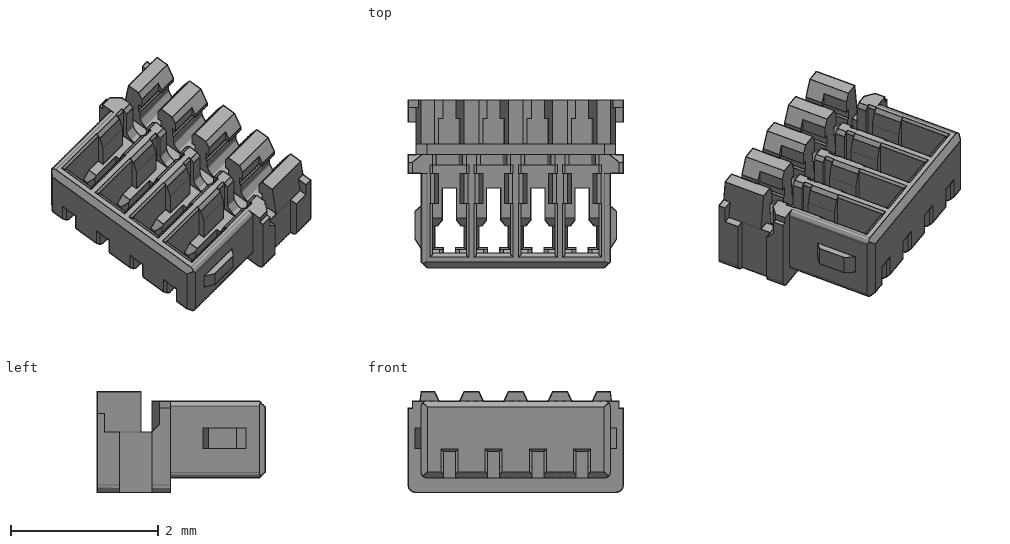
import cadquery as cq


CONTACTS = 4
PILLAR_SPAN = 2.4
PITCH = PILLAR_SPAN / CONTACTS
CHANNEL_XS = [PITCH * (i - (CONTACTS - 1) / 2) for i in range(CONTACTS)]

HALF_WIDTH = 1.46
DEPTH = 2.28
HEIGHT = 1.37
BASE_ROUND = 0.105
WAIST_HALF_WIDTH = HALF_WIDTH - BASE_ROUND
SHOULDER_Z = 0.823

NOSE_HALF_WIDTH = 1.282
NOSE_BOTTOM = 0.2
NOSE_TOP = 1.24
NOSE_ROUND = 0.075
NOSE_CHAMFER = 0.082

COLLAR_FRONT = 1.285
COLLAR_BACK = 1.54
COLLAR_STEP_Z = 1.145
COLLAR_TOP_HALF_WIDTH = 1.402
COLLAR_RELIEF = 0.105
RELIEF_INNER_X = 1.275

FLANGE_FRONT = 1.98
FLANGE_LUG_FRONT = 2.18
FLANGE_LUG_TOP = 1.075
FLANGE_LUG_INNER_X = 1.308

PILLAR_FRONT = 1.685
PILLAR_TOP_HALF_WIDTH = 0.1
PILLAR_SLOPE_RUN = 0.115
PILLAR_SLOPE_DROP = 0.237
CROSS_SLOT_HALF_WIDTH = 1.205

CAVITY_HALF_WIDTH = 0.23
CAVITY_FRONT = 0.207
CAVITY_BACK = 1.402
CAVITY_FLOOR = 0.585
RIM_SIDE = 0.032
RIM_FRONT = 0.058

CHANNEL_RADIUS = 0.178
CHANNEL_AXIS_Z = 0.78
GROOVE_FLARE = 0.023
GROOVE_BOTTOM = 0.895
GROOVE_TOP = 1.065
RECESS_HALF_WIDTH = 0.145
RECESS_TOP = 1.267
RECESS_BACK = 2.03
ENTRY_CHAMFER = 0.053

RIB_FRONT = 0.875
RIB_ROOT_X = 0.255
RIB_EDGE_X = 0.201
RIB_FACE_X = 0.145
RIB_TAPER_DROP = 0.185

SLOT_HALF_WIDTH = 0.095
SLOT_BACK = 1.085
WINDOW_HALF_WIDTH = 0.195
WINDOW_FRONT = 0.28
WINDOW_BACK = 0.57
WINDOW_CORNER_X = 0.16
WINDOW_CORNER_RUN = 0.08
RAMP_BACK = 0.68
SILL_BACK = 0.255
FUNNEL_TOP = 0.35
SILL_NOTCH_HALF_WIDTH = 0.137
NOTCH_HALF_WIDTH = 0.082
NOTCH_TOP = 0.558
NOTCH_CHAMFER = 0.035

LATCH_REACH = 0.085
LATCH_BOTTOM = 0.6
LATCH_TOP = 0.875
LATCH_FRONT = 0.263
LATCH_CREST_FRONT = 0.39
LATCH_CREST_BACK = 0.77
LATCH_BACK = 0.847


def block(x0, x1, y0, y1, z0, z1):
    """Box given by its limits along each axis."""
    return cq.Workplane("XY").box(x1 - x0, y1 - y0, z1 - z0, centered=False).translate((x0, y0, z0))


def mirrored_profile(points, y0, y1):
    """Prism along Y from a right-hand (x, z) outline mirrored about x = 0."""
    outline = points + [(-x, z) for x, z in reversed(points)]
    return cq.Workplane("XZ", origin=(0, y0, 0)).polyline(outline).close().extrude(y0 - y1)


def side_profile(points, half_width):
    """Prism along X, symmetric about x = 0, from a (y, z) outline."""
    return cq.Workplane("YZ").polyline(points).close().extrude(half_width, both=True)


def both_sides(solid):
    """A right-hand solid together with its mirror image about x = 0."""
    return solid.union(solid.mirror("YZ"))


def make_nose():
    limits = (-NOSE_HALF_WIDTH, NOSE_HALF_WIDTH, 0, COLLAR_BACK, NOSE_BOTTOM, NOSE_TOP)
    rounded = block(*limits).edges("|Y").fillet(NOSE_ROUND)
    bevelled = block(*limits).faces("<Y").chamfer(NOSE_CHAMFER)
    return rounded.intersect(bevelled)


def make_latches():
    outline = [
        (NOSE_HALF_WIDTH - NOSE_ROUND, LATCH_FRONT),
        (NOSE_HALF_WIDTH, LATCH_FRONT),
        (NOSE_HALF_WIDTH + LATCH_REACH, LATCH_CREST_FRONT),
        (NOSE_HALF_WIDTH + LATCH_REACH, LATCH_CREST_BACK),
        (NOSE_HALF_WIDTH, LATCH_BACK),
        (NOSE_HALF_WIDTH - NOSE_ROUND, LATCH_BACK),
    ]
    latch = cq.Workplane("XY", origin=(0, 0, LATCH_BOTTOM)).polyline(outline).close()
    return both_sides(latch.extrude(LATCH_TOP - LATCH_BOTTOM))


def rounded_base(y0, y1, top):
    base = block(-HALF_WIDTH, HALF_WIDTH, y0, y1, 0, top)
    return base.edges("|Y and <Z").fillet(BASE_ROUND)


def make_collar():
    collar = rounded_base(COLLAR_FRONT, COLLAR_BACK, COLLAR_STEP_Z)
    upper = block(
        -COLLAR_TOP_HALF_WIDTH, COLLAR_TOP_HALF_WIDTH, COLLAR_FRONT, COLLAR_BACK, COLLAR_STEP_Z, NOSE_TOP
    )
    relief_front = COLLAR_BACK - COLLAR_RELIEF
    plan = [
        (RELIEF_INNER_X, COLLAR_BACK),
        (COLLAR_TOP_HALF_WIDTH, relief_front),
        (HALF_WIDTH, relief_front),
        (HALF_WIDTH, COLLAR_BACK),
    ]
    corner = cq.Workplane("XY").polyline(plan).close().extrude(HEIGHT)
    above_floor = side_profile(
        [
            (COLLAR_BACK, SHOULDER_Z),
            (relief_front, SHOULDER_Z + COLLAR_RELIEF),
            (relief_front, HEIGHT),
            (COLLAR_BACK, HEIGHT),
        ],
        HALF_WIDTH,
    )
    return collar.union(upper).cut(both_sides(corner.intersect(above_floor)))


def make_rear_block():
    waist = block(-WAIST_HALF_WIDTH, WAIST_HALF_WIDTH, COLLAR_BACK, DEPTH, 0, SHOULDER_Z)
    flanges = rounded_base(FLANGE_FRONT, DEPTH, SHOULDER_Z)
    lug = block(FLANGE_LUG_INNER_X, HALF_WIDTH, FLANGE_LUG_FRONT, DEPTH, SHOULDER_Z, FLANGE_LUG_TOP)
    return waist.union(flanges).union(both_sides(lug))


def make_pillars():
    """Wall of pillars as one trapezoid, split by a tapered gap above each channel."""
    wall = mirrored_profile(
        [(WAIST_HALF_WIDTH, SHOULDER_Z), (NOSE_HALF_WIDTH, HEIGHT)], PILLAR_FRONT, DEPTH
    )
    gap_top = PITCH / 2 - PILLAR_TOP_HALF_WIDTH
    gap_bottom = gap_top - PILLAR_SLOPE_RUN
    slope_end = HEIGHT - PILLAR_SLOPE_DROP
    gap = mirrored_profile(
        [(gap_bottom, CHANNEL_AXIS_Z), (gap_bottom, slope_end), (gap_top, HEIGHT)], PILLAR_FRONT, DEPTH
    )
    for x in CHANNEL_XS:
        wall = wall.cut(gap.translate((x, 0, 0)))
    return wall


def make_channel_cut():
    """Round-bottomed wire channel with a flared groove, open at the rear face."""
    straight_sides = block(-CHANNEL_RADIUS, CHANNEL_RADIUS, CAVITY_BACK, DEPTH, CHANNEL_AXIS_Z, GROOVE_TOP)
    bore = (
        cq.Workplane("XZ", origin=(0, CAVITY_BACK, CHANNEL_AXIS_Z))
        .circle(CHANNEL_RADIUS)
        .extrude(CAVITY_BACK - DEPTH)
    )
    wide = CHANNEL_RADIUS + GROOVE_FLARE
    groove = mirrored_profile(
        [
            (CHANNEL_RADIUS, GROOVE_BOTTOM),
            (wide, GROOVE_BOTTOM + GROOVE_FLARE),
            (wide, GROOVE_TOP),
        ],
        PILLAR_FRONT,
        DEPTH,
    )
    recess = block(
        -RECESS_HALF_WIDTH, RECESS_HALF_WIDTH, PILLAR_FRONT, RECESS_BACK, CHANNEL_AXIS_Z, RECESS_TOP
    )
    entry = mirrored_profile(
        [
            (CHANNEL_RADIUS, CHANNEL_AXIS_Z),
            (CHANNEL_RADIUS, NOSE_TOP - ENTRY_CHAMFER),
            (CHANNEL_RADIUS + ENTRY_CHAMFER, NOSE_TOP),
        ],
        CAVITY_BACK,
        COLLAR_BACK,
    )
    return bore.union(straight_sides).union(groove).union(recess).union(entry)


def make_ribs():
    """Guide ribs on both walls of one cavity, tapered towards the top."""
    edge_z = NOSE_TOP - (RIB_ROOT_X - RIB_EDGE_X)
    wall_x = PITCH / 2
    outline = [
        (wall_x, CAVITY_FLOOR),
        (wall_x, NOSE_TOP),
        (RIB_ROOT_X, NOSE_TOP),
        (RIB_EDGE_X, edge_z),
        (RIB_FACE_X, edge_z - RIB_TAPER_DROP),
        (RIB_FACE_X, CAVITY_FLOOR),
    ]
    rib = cq.Workplane("XZ", origin=(0, RIB_FRONT, 0)).polyline(outline).close()
    return both_sides(rib.extrude(RIB_FRONT - COLLAR_FRONT))


def make_cavity_cut():
    """Contact cavity with chamfered rim, guide ribs, front well and ramp."""
    cavity = block(
        -CAVITY_HALF_WIDTH, CAVITY_HALF_WIDTH, CAVITY_FRONT, CAVITY_BACK, CAVITY_FLOOR, NOSE_TOP
    )
    side_flare = mirrored_profile(
        [
            (CAVITY_HALF_WIDTH, NOSE_TOP - RIM_FRONT),
            (CAVITY_HALF_WIDTH, NOSE_TOP - RIM_SIDE),
            (CAVITY_HALF_WIDTH + RIM_SIDE, NOSE_TOP),
        ],
        CAVITY_FRONT - RIM_FRONT,
        CAVITY_BACK,
    )
    front_flare = side_profile(
        [
            (CAVITY_FRONT, NOSE_TOP - RIM_FRONT),
            (CAVITY_FRONT - RIM_FRONT, NOSE_TOP),
            (CAVITY_BACK, NOSE_TOP),
            (CAVITY_BACK, NOSE_TOP - RIM_FRONT),
        ],
        CAVITY_HALF_WIDTH + RIM_SIDE,
    )
    rim = side_flare.intersect(front_flare)
    ramp_drop = RAMP_BACK - WINDOW_BACK
    sill_rise = SILL_BACK - CAVITY_FRONT
    well = side_profile(
        [
            (CAVITY_FRONT, CAVITY_FLOOR),
            (CAVITY_FRONT, FUNNEL_TOP + sill_rise),
            (SILL_BACK, FUNNEL_TOP),
            (WINDOW_BACK, FUNNEL_TOP),
            (WINDOW_BACK, CAVITY_FLOOR - ramp_drop),
            (RAMP_BACK, CAVITY_FLOOR),
        ],
        CAVITY_HALF_WIDTH,
    )
    return cavity.union(rim).cut(make_ribs()).union(well)


def make_floor_openings():
    """Stepped opening through the cavity floor, and the notch in the nose face."""
    slot = block(-SLOT_HALF_WIDTH, SLOT_HALF_WIDTH, WINDOW_FRONT, SLOT_BACK, 0, CAVITY_FLOOR)
    window_outline = [
        (WINDOW_HALF_WIDTH, WINDOW_FRONT),
        (WINDOW_HALF_WIDTH, WINDOW_BACK),
        (WINDOW_CORNER_X, WINDOW_BACK),
        (SLOT_HALF_WIDTH, WINDOW_BACK + WINDOW_CORNER_RUN),
    ]
    window_outline += [(-x, y) for x, y in reversed(window_outline)]
    window = cq.Workplane("XY").polyline(window_outline).close().extrude(CAVITY_FLOOR)
    funnel = (
        cq.Workplane("XY", origin=(0, (WINDOW_FRONT + WINDOW_BACK) / 2, NOSE_BOTTOM))
        .rect(2 * WINDOW_HALF_WIDTH, WINDOW_BACK - WINDOW_FRONT)
        .workplane(offset=FUNNEL_TOP - NOSE_BOTTOM)
        .center(0, (SILL_BACK - WINDOW_FRONT) / 2)
        .rect(2 * CAVITY_HALF_WIDTH, WINDOW_BACK - SILL_BACK)
        .loft(combine=True)
    )
    sill_notch = block(
        -SILL_NOTCH_HALF_WIDTH, SILL_NOTCH_HALF_WIDTH, CAVITY_FRONT, SILL_BACK, FUNNEL_TOP, CAVITY_FLOOR
    )
    notch = block(-NOTCH_HALF_WIDTH, NOTCH_HALF_WIDTH, 0, WINDOW_FRONT, 0, NOTCH_TOP)
    mouth_half_width = NOTCH_HALF_WIDTH + NOTCH_CHAMFER
    mouth = (
        cq.Workplane("XZ")
        .center(0, NOTCH_TOP / 2)
        .rect(2 * mouth_half_width, NOTCH_TOP + 2 * NOTCH_CHAMFER)
        .workplane(offset=-NOTCH_CHAMFER)
        .rect(2 * NOTCH_HALF_WIDTH, NOTCH_TOP)
        .loft(combine=True)
    )
    return slot.union(window).union(funnel).union(sill_notch).union(notch).union(mouth)


body = make_nose().union(make_latches())
body = body.union(make_collar()).union(make_rear_block()).union(make_pillars())

cross_slot = block(
    -CROSS_SLOT_HALF_WIDTH, CROSS_SLOT_HALF_WIDTH, COLLAR_BACK, PILLAR_FRONT, CAVITY_FLOOR, HEIGHT
)
body = body.cut(cross_slot)

channel_cutter = make_channel_cut()
cavity_cutter = make_cavity_cut()
opening_cutter = make_floor_openings()
for channel_x in CHANNEL_XS:
    for cutter in (channel_cutter, cavity_cutter, opening_cutter):
        body = body.cut(cutter.translate((channel_x, 0, 0)))

result = body